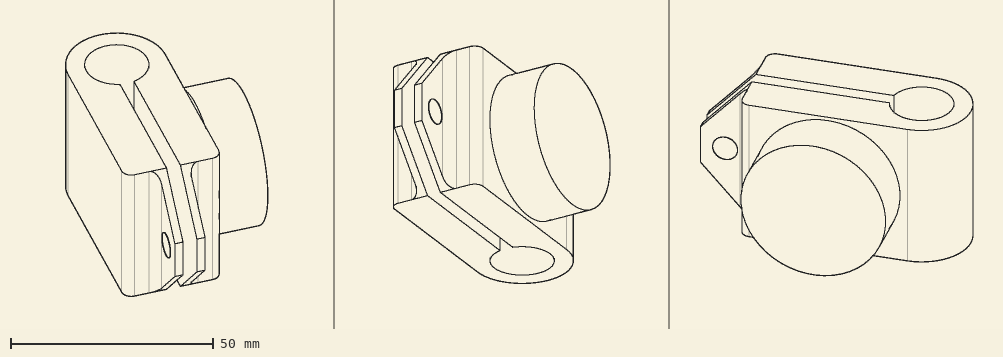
import cadquery as cq

height = 38.1
nose_radius = 12.7
bore_radius = 7.95
slot_width = 3.65
total_length = 68.6
block_length = 55.95
corner_radius = 2.5

tab_thickness = 2.1
tab_tip_height = 10.3
tab_root_radius = 2.5

pad_radius = 3.2
pad_height = 0.15
pad_tip_distance = 6.4

disc_radius = 18.65
disc_thickness = 12.7
disc_gap = 0.8
disc_nose_distance = 33.0

nose_x = -nose_radius
block_end_x = nose_x + block_length
tip_x = nose_x + total_length
pad_x = tip_x - pad_tip_distance
disc_x = nose_x + disc_nose_distance
slot_face_y = slot_width / 2
tab_outer_y = slot_face_y + tab_thickness


def make_block():
    """Round-nosed block with rounded vertical corners at its +X end."""
    nose = cq.Workplane("XY").circle(nose_radius).extrude(height / 2, both=True)
    body = (
        cq.Workplane("XY")
        .box(block_end_x, 2 * nose_radius, height, centered=(False, True, True))
        .edges("|Z and >X")
        .fillet(corner_radius)
    )
    return nose.union(body)


def make_tab():
    """Tab on the +Y side of the slot, with a concave root and a pad."""
    root_end_x = block_end_x + tab_root_radius
    root_top_y = tab_outer_y + tab_root_radius
    section = (
        cq.Workplane("XY")
        .moveTo(block_end_x, slot_face_y)
        .lineTo(tip_x, slot_face_y)
        .lineTo(tip_x, tab_outer_y)
        .lineTo(root_end_x, tab_outer_y)
        .radiusArc((block_end_x, root_top_y), tab_root_radius)
        .close()
        .extrude(height / 2, both=True)
    )
    taper = (
        cq.Workplane("XZ")
        .polyline([
            (block_end_x, -height / 2),
            (tip_x, -tab_tip_height / 2),
            (tip_x, tab_tip_height / 2),
            (block_end_x, height / 2),
        ])
        .close()
        .extrude(nose_radius, both=True)
    )
    pad = (
        cq.Workplane("XZ", origin=(pad_x, slot_face_y, 0))
        .circle(pad_radius)
        .extrude(-(tab_thickness + pad_height))
    )
    return section.intersect(taper).union(pad)


def make_clamp():
    """Block and both tabs, opened by the bore and the slot."""
    tab = make_tab()
    bore = cq.Workplane("XY").circle(bore_radius).extrude(height / 2, both=True)
    slot = cq.Workplane("XY").box(tip_x, slot_width, height, centered=(False, True, True))
    return make_block().union(tab).union(tab.mirror("XZ")).cut(bore).cut(slot)


def make_disc():
    """Plain disc with its axis along Y, centred on the clamp's height."""
    return (
        cq.Workplane("XZ", origin=(disc_x, nose_radius + disc_gap, 0))
        .circle(disc_radius)
        .extrude(-disc_thickness)
    )


clamp = make_clamp()
disc = make_disc()

result = cq.Compound.makeCompound([clamp.val(), disc.val()])